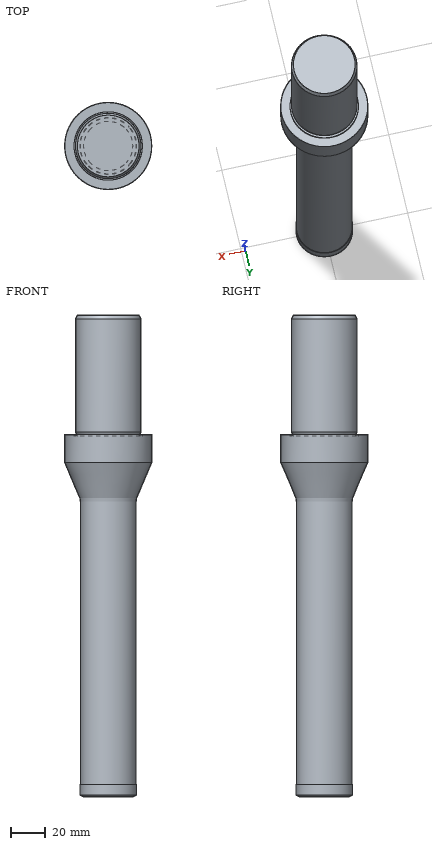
import cadquery as cq

overall_height = 281.5
collar_radius = 25.47
collar_top = 211.5
collar_bottom = 195.3
cone_bottom = 174.5
neck_bottom = 172.5
shank_radius = 16.3
tip_band_radius = 16.5
neck_radius = 16.5
tip_band_height = 7.3
tip_chamfer_height = 1.0
tip_chamfer_depth = 2.3

pin_radius = 19.0
pin_chamfer_height = 2.3
pin_chamfer_depth = 1.0
mouth_radius = 20.0
seat_depth = 0.8


def revolve_profile(points):
    """Turn a closed (radius, height) outline about the Z axis."""
    return cq.Workplane("XZ").polyline(points).close().revolve(360, (0, 0), (0, 1))


def make_sleeve():
    return revolve_profile([
        (0, 0),
        (tip_band_radius - tip_chamfer_depth, 0),
        (tip_band_radius, tip_chamfer_height),
        (tip_band_radius, tip_band_height),
        (shank_radius, tip_band_height),
        (shank_radius, neck_bottom),
        (neck_radius, cone_bottom),
        (collar_radius, collar_bottom),
        (collar_radius, collar_top),
        (mouth_radius, collar_top),
        (mouth_radius, collar_top - seat_depth),
        (0, collar_top - seat_depth),
    ])


def make_pin():
    bottom = collar_top - seat_depth
    end_radius = pin_radius - pin_chamfer_depth
    return revolve_profile([
        (0, bottom),
        (end_radius, bottom),
        (pin_radius, bottom + pin_chamfer_height),
        (pin_radius, overall_height - pin_chamfer_height),
        (end_radius, overall_height),
        (0, overall_height),
    ])


sleeve = make_sleeve()
pin = make_pin()
result = cq.Compound.makeCompound([sleeve.val(), pin.val()])